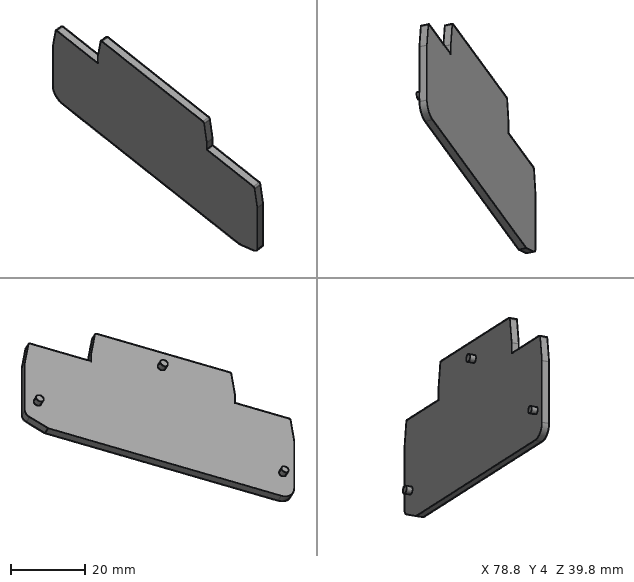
import cadquery as cq

width = 78.8
height = 39.8
thickness = 2.2
shoulder_height = 29.15
tower_left = 17.3
tower_right = 59.3

taper_height = 7.6
taper_inset = 1.1
tip_radius = 0.55

lower_left_radius = 3.95
bevel_length = 6.8
bevel_height = 2.7
bevel_radius = 2.05

total_depth = 4.0
peg_length = total_depth - thickness
small_peg_diameter = 2.05
large_peg_diameter = 2.2
lower_peg_z = 8.3
upper_peg_z = 34.35
pegs = [
    (3.5, lower_peg_z, small_peg_diameter),
    (38.85, upper_peg_z, large_peg_diameter),
    (75.2, lower_peg_z, large_peg_diameter),
]


def round_corner(body, x, z, radius):
    """Round the plate's through-thickness edge at the given corner."""
    corner = cq.selectors.NearestToPointSelector((x, thickness / 2, z))
    return body.edges("|Y").edges(corner).fillet(radius)


def make_plate():
    shoulder_taper_start = shoulder_height - taper_height
    tower_taper_start = height - taper_height
    tips = [
        (taper_inset, shoulder_height),
        (tower_left + taper_inset, height),
        (tower_right - taper_inset, height),
        (width - taper_inset, shoulder_height),
    ]
    left_shoulder_tip, left_tower_tip, right_tower_tip, right_shoulder_tip = tips
    outline = [
        (0, 0),
        (0, shoulder_taper_start),
        left_shoulder_tip,
        (tower_left, shoulder_height),
        (tower_left, tower_taper_start),
        left_tower_tip,
        right_tower_tip,
        (tower_right, tower_taper_start),
        (tower_right, shoulder_height),
        right_shoulder_tip,
        (width, shoulder_taper_start),
        (width, bevel_height),
        (width - bevel_length, 0),
    ]
    body = cq.Workplane("XZ").polyline(outline).close().extrude(-thickness)
    for x, z in tips:
        body = round_corner(body, x, z, tip_radius)
    body = round_corner(body, 0, 0, lower_left_radius)
    return round_corner(body, width, bevel_height, bevel_radius)


def make_peg(x, z, diameter):
    back_face = cq.Workplane("XZ", origin=(x, thickness, z))
    return back_face.circle(diameter / 2).extrude(-peg_length)


result = make_plate()
for peg_x, peg_z, peg_diameter in pegs:
    result = result.union(make_peg(peg_x, peg_z, peg_diameter))